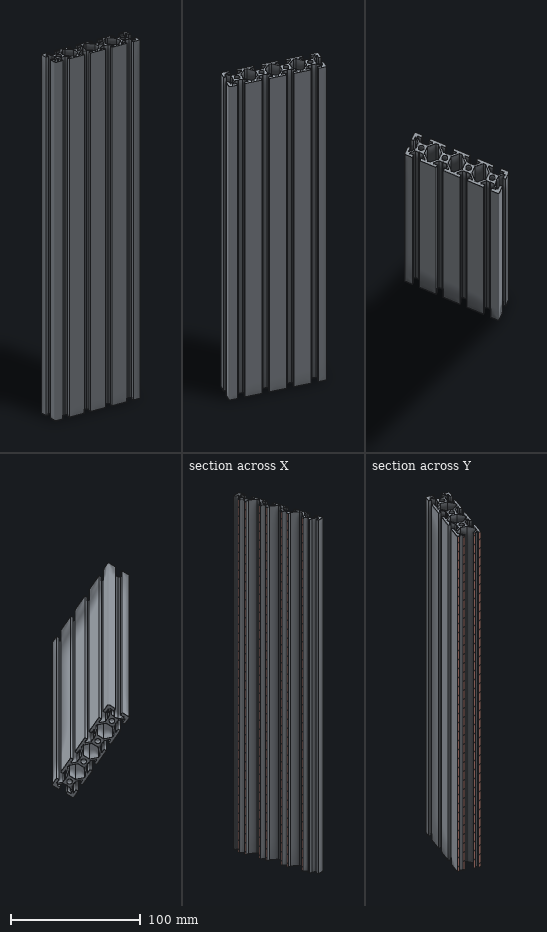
import cadquery as cq

length = 300.0
cell_count = 4
pitch = length / 15
width_x = pitch
depth_y = cell_count * pitch
corner_radius = 1.2

slot_opening = 6.0
lip_thickness = 2.28
pocket_half_width = 6.3

groove_depth = 0.35
groove_steep_edge = 0.5
groove_knee = 1.05
groove_knee_depth = 0.12
groove_shallow_edge = 2.25

hub_size = 8.0
bore_diameter = 4.2

web_pocket_offset = 1.0
web_cavity_offset = 1.25

half_width = width_x / 2
half_hub = hub_size / 2
inner_face = half_width - lip_thickness


def row_of_centres(count):
    """Centres of a row along Y, one pitch apart and symmetric about X."""
    return [(0, (index - (count - 1) / 2) * pitch) for index in range(count)]


def t_slot(centre, angle):
    """T-slot that opens toward +X, turned by angle and moved to a cell centre."""
    upper_side = [
        (half_width, slot_opening / 2),
        (inner_face, slot_opening / 2),
        (inner_face, pocket_half_width),
        (pocket_half_width + web_pocket_offset, pocket_half_width),
        (half_hub, half_hub - web_pocket_offset),
    ]
    floor_groove = [
        (half_hub, groove_shallow_edge),
        (half_hub - groove_knee_depth, groove_knee),
        (half_hub - groove_depth, 0),
        (half_hub, -groove_steep_edge),
    ]
    lower_side = [(x, -y) for x, y in reversed(upper_side)]
    outline = upper_side + floor_groove + lower_side
    slot = cq.Workplane("XY").polyline(outline).close().extrude(length)
    return slot.rotate((0, 0, 0), (0, 0, 1), angle).translate((*centre, 0))


def cavity(centre):
    """Eight-sided through-cavity between two hubs."""
    half_height = pitch / 2 - half_hub
    half_end = half_hub - web_cavity_offset
    half_side = pitch / 2 - inner_face - web_cavity_offset
    outline = [
        (half_end, half_height),
        (inner_face, half_side),
        (inner_face, -half_side),
        (half_end, -half_height),
        (-half_end, -half_height),
        (-inner_face, -half_side),
        (-inner_face, half_side),
        (-half_end, half_height),
    ]
    block = cq.Workplane("XY").polyline(outline).close().extrude(length)
    return block.translate((*centre, 0))


cell_centres = row_of_centres(cell_count)

bar = cq.Workplane("XY").rect(width_x, depth_y).extrude(length)
bar = bar.edges("|Z").fillet(corner_radius)

for centre in row_of_centres(cell_count - 1):
    bar = bar.cut(cavity(centre))

for centre in cell_centres:
    for angle in (0, 180):
        bar = bar.cut(t_slot(centre, angle))

bar = bar.cut(t_slot(cell_centres[0], -90))
bar = bar.cut(t_slot(cell_centres[-1], 90))

bores = cq.Workplane("XY").pushPoints(cell_centres).circle(bore_diameter / 2).extrude(length)
result = bar.cut(bores)